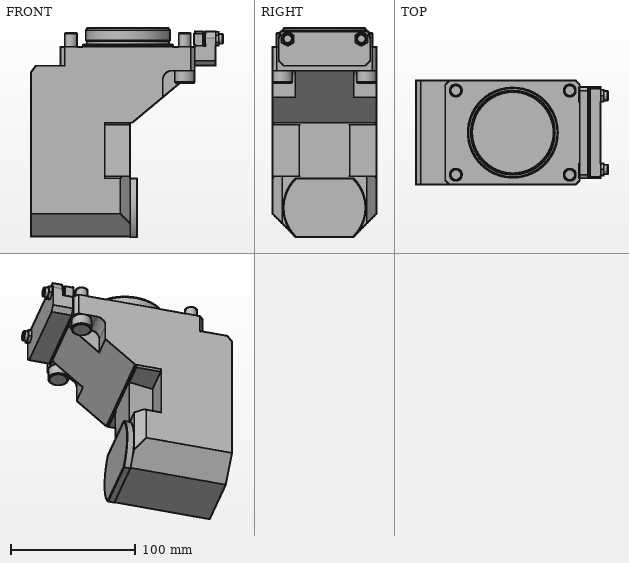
import cadquery as cq

WIDTH = 84.0
HALF_WIDTH = WIDTH / 2

body_bottom = 0.5
body_front = 80.0
shoulder_z = 138.3
shoulder_chamfer_x = 4.0
shoulder_chamfer_z = 5.2
belly_chamfer = 18.5
front_edge_chamfer = 8.0

flange_back = 23.8
flange_front = 132.0
flange_bottom = 134.3
flange_top = 153.5
flange_corner = 3.4
slope_start_x = 81.5

notch_back = 59.5
notch_bottom = 47.5
notch_top = 92.1
notch_lip = 1.5
column_back_width = 33.7
column_front_width = 40.5

screw_diameter = 10.0
screw_top = 164.8
screw_tip_chamfer = 0.8
screw_back_x = 32.2
screw_front_x = 124.0
screw_y = 33.9
head_diameter = 16.0
head_height = 10.0
head_chamfer = 0.8
pocket_back = 106.3
pocket_inner_y = 23.6
pocket_radius = 7.5

window_x = (screw_back_x + screw_front_x) / 2
window_top = 168.7
window_diameter = 68.0
window_chamfer_width = 1.3
window_chamfer_height = 2.0
groove_diameter = 66.6
window_underside = 158.7
collar_diameter = 72.9
collar_height = 2.0
collar_chamfer = 0.7

lens_diameter = 66.6
lens_front = 85.7
lens_top = notch_bottom
lens_chamfer = 0.5

bracket_width = 73.9
bracket_front = 148.8
bracket_bottom = 138.3
bracket_seat = 154.2
bracket_top = 166.0
bracket_wall_back = 140.7
bracket_bottom_chamfer = 4.0
bracket_top_chamfer_y = 1.5
bracket_top_chamfer_z = 5.2

jaw_width = 73.2
jaw_front = 139.2
jaw_chamfer_y = 2.7
jaw_chamfer_z = 1.9
jaw_edge_chamfer = 0.5
pad_thickness = 0.7
pad_inner_y = 25.0
pad_bottom = 155.2
pad_top = 164.6

bolt_y = 29.7
bolt_z = 159.9
bolt_diameter = 8.0
bolt_end = 154.8
bolt_chamfer = 0.7
nut_across_corners = 11.5
nut_front = 151.3


def box(x0, x1, y0, y1, z0, z1):
    """Axis-aligned block between the given limits."""
    return cq.Workplane("XY").box(x1 - x0, y1 - y0, z1 - z0, centered=False).translate((x0, y0, z0))


def extrude_along_y(points, y0, y1):
    """Extrude an XZ outline from y0 to y1."""
    return cq.Workplane("XZ", origin=(0, y1, 0)).polyline(points).close().extrude(y1 - y0)


def extrude_along_x(points, x0, x1):
    """Extrude a YZ outline from x0 to x1."""
    return cq.Workplane("YZ", origin=(x0, 0, 0)).polyline(points).close().extrude(x1 - x0)


def z_cylinder(x, y, z0, z1, diameter):
    """Upright cylinder from z0 to z1."""
    return cq.Workplane("XY", origin=(x, y, z0)).circle(diameter / 2).extrude(z1 - z0)


def belly_outline(bottom, top):
    """YZ outline of the full width with 45 degree chamfers at the bottom."""
    flat = HALF_WIDTH - belly_chamfer
    shoulder = bottom + belly_chamfer
    return [
        (-flat, bottom), (flat, bottom), (HALF_WIDTH, shoulder),
        (HALF_WIDTH, top), (-HALF_WIDTH, top), (-HALF_WIDTH, shoulder),
    ]


def housing():
    outline = [
        (0, body_bottom), (body_front, body_bottom), (body_front, notch_top),
        (slope_start_x, notch_top), (flange_front, flange_bottom), (flange_front, shoulder_z),
        (shoulder_chamfer_x, shoulder_z), (0, shoulder_z - shoulder_chamfer_z),
    ]
    body = extrude_along_y(outline, -HALF_WIDTH, HALF_WIDTH)
    body = body.intersect(extrude_along_x(belly_outline(body_bottom, shoulder_z), 0, flange_front))
    plate = box(flange_back, flange_front, -HALF_WIDTH, HALF_WIDTH, shoulder_z, flange_top)
    body = body.union(plate.edges("|Z and <X").chamfer(flange_corner))
    for side in (-1, 1):
        body = body.cut(flange_corner_cut(side))
        body = body.cut(front_edge_cut(side))
        body = body.cut(side_notch(side))
        body = body.cut(screw_pocket(side))
    return body


def flange_corner_cut(side):
    """Wedge that bevels one front corner of the flange over its full height."""
    edge = side * HALF_WIDTH
    return (
        cq.Workplane("XY", origin=(0, 0, flange_bottom))
        .polyline([(flange_front, edge), (flange_front - flange_corner, edge),
                   (flange_front, edge - side * flange_corner)])
        .close()
        .extrude(flange_top - flange_bottom)
    )


def front_edge_cut(side):
    """Wedge that bevels one upright front edge of the housing below the notch."""
    edge = side * HALF_WIDTH
    return (
        cq.Workplane("XY")
        .polyline([(body_front, edge), (body_front - front_edge_chamfer, edge),
                   (body_front, edge - side * front_edge_chamfer)])
        .close()
        .extrude(notch_bottom + notch_lip)
    )


def side_notch(side):
    """Recess beside the column; its mouth is bevelled at the ceiling and the ledge."""
    floor = notch_bottom + notch_lip
    ceiling = notch_top - notch_lip
    edge = side * HALF_WIDTH
    recess = (
        cq.Workplane("XY", origin=(0, 0, floor))
        .polyline([(notch_back, edge), (body_front, edge),
                   (body_front, side * column_front_width / 2),
                   (notch_back, side * column_back_width / 2)])
        .close()
        .extrude(ceiling - floor)
    )
    inner = edge - side * notch_lip
    mouth = [(edge, notch_bottom), (edge, notch_top), (inner, ceiling), (inner, floor)]
    return recess.union(extrude_along_x(mouth, notch_back, body_front))


def screw_pocket(side):
    """Clearance under the flange for one front screw head, with a rounded inner corner."""
    y0, y1 = sorted((side * pocket_inner_y, side * HALF_WIDTH))
    pocket = box(pocket_back, flange_front, y0, y1, notch_top, flange_bottom)
    return pocket.edges("|Y and <X and >Z").fillet(pocket_radius)


def mounting_screws():
    screws = cq.Workplane("XY")
    for y in (-screw_y, screw_y):
        for x in (screw_back_x, screw_front_x):
            shank = z_cylinder(x, y, flange_bottom, screw_top, screw_diameter)
            screws = screws.union(shank.faces(">Z").chamfer(screw_tip_chamfer))
        head = z_cylinder(screw_front_x, y, flange_bottom - head_height, flange_bottom, head_diameter)
        screws = screws.union(head.faces("<Z").chamfer(head_chamfer))
    return screws


def window():
    """Turned window: collar, groove and a bevelled disc."""
    collar_top = flange_top + collar_height
    collar_radius = collar_diameter / 2
    groove_radius = groove_diameter / 2
    radius = window_diameter / 2
    underside_bevel = radius - groove_radius
    half_section = [
        (0, flange_top), (collar_radius, flange_top), (collar_radius, collar_top - collar_chamfer),
        (collar_radius - collar_chamfer, collar_top), (groove_radius, collar_top),
        (groove_radius, window_underside - underside_bevel), (radius, window_underside),
        (radius, window_top - window_chamfer_height),
        (radius - window_chamfer_width, window_top), (0, window_top),
    ]
    section = cq.Workplane("XZ").polyline(half_section).close()
    return section.revolve(360, (0, 0, 0), (0, 1, 0)).translate((window_x, 0, 0))


def lens_plate():
    """Round plate on the front face, trimmed flat at the top and the bottom, with a bevelled rim."""
    radius = lens_diameter / 2
    disc = (
        cq.Workplane("YZ", origin=(body_front, 0, lens_top / 2))
        .circle(radius)
        .extrude(lens_front - body_front)
    )
    trimmed = disc.intersect(box(body_front, lens_front, -radius, radius, 0, lens_top))
    return trimmed.faces(">X").chamfer(lens_chamfer)


def bracket():
    half = bracket_width / 2
    top_half = half - bracket_top_chamfer_y
    top_shoulder = bracket_top - bracket_top_chamfer_z
    bottom_half = half - bracket_bottom_chamfer
    bottom_shoulder = bracket_bottom + bracket_bottom_chamfer
    outline = [
        (-bottom_half, bracket_bottom), (bottom_half, bracket_bottom), (half, bottom_shoulder),
        (half, top_shoulder), (top_half, bracket_top), (-top_half, bracket_top),
        (-half, top_shoulder), (-half, bottom_shoulder),
    ]
    block = extrude_along_x(outline, flange_front, bracket_front)
    return block.cut(box(flange_front, bracket_wall_back, -half, half, bracket_seat, bracket_top))


def jaw():
    half = jaw_width / 2
    top_half = half - jaw_chamfer_y
    shoulder = bracket_top - jaw_chamfer_z
    outline = [
        (-half, bracket_seat), (half, bracket_seat), (half, shoulder),
        (top_half, bracket_top), (-top_half, bracket_top), (-half, shoulder),
    ]
    plate = extrude_along_x(outline, flange_front, jaw_front)
    plate = plate.faces(">X").edges("not <Z").chamfer(jaw_edge_chamfer)
    pad_back = flange_front - pad_thickness
    for side in (-1, 1):
        y0, y1 = sorted((side * pad_inner_y, side * half))
        pad_outline = [
            (flange_front, pad_bottom), (pad_back, pad_bottom),
            (pad_back, pad_top - pad_thickness), (flange_front, pad_top),
        ]
        plate = plate.union(extrude_along_y(pad_outline, y0, y1))
    return plate


def clamp_bolts():
    bolts = cq.Workplane("XY")
    for y in (-bolt_y, bolt_y):
        start = cq.Workplane("YZ", origin=(flange_front, y, bolt_z))
        shaft = start.circle(bolt_diameter / 2).extrude(bolt_end - flange_front)
        bolts = bolts.union(shaft.faces(">X").chamfer(bolt_chamfer))
        nut = (
            cq.Workplane("YZ", origin=(bracket_front, y, bolt_z))
            .transformed(rotate=(0, 0, 90))
            .polygon(6, nut_across_corners)
            .extrude(nut_front - bracket_front)
        )
        bolts = bolts.union(nut)
    return bolts


result = housing()
for component in (mounting_screws(), window(), lens_plate(), bracket(), jaw(), clamp_bolts()):
    result = result.union(component)